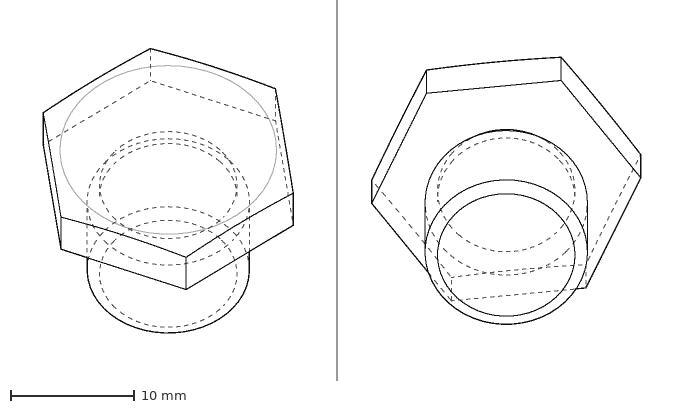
import cadquery as cq
import math

across_corners = 21.95
overall_height = 16.0
head_height = 4.55
top_face_diameter = 17.55
head_chamfer_angle = 10.0

shank_diameter = 13.16
neck_diameter = 11.15
tip_diameter = 11.15
tip_chamfer_height = 0.5
undercut_height = 2.17
shoulder_angle = 30.0
neck_fillet_radius = 0.25

head_bottom = overall_height - head_height


def make_head():
    """Hexagonal prism whose upper corners are trimmed by a shallow cone."""
    prism = (
        cq.Workplane("XY", origin=(0, 0, head_bottom))
        .polygon(6, across_corners)
        .extrude(head_height)
    )
    corner_radius = across_corners / 2
    top_radius = top_face_diameter / 2
    corner_drop = (corner_radius - top_radius) * math.tan(math.radians(head_chamfer_angle))
    cone_envelope = (
        cq.Workplane("XZ")
        .moveTo(0, head_bottom)
        .lineTo(corner_radius, head_bottom)
        .lineTo(corner_radius, overall_height - corner_drop)
        .lineTo(top_radius, overall_height)
        .lineTo(0, overall_height)
        .close()
        .revolve(360, (0, 0, 0), (0, 1, 0))
    )
    return prism.intersect(cone_envelope)


def make_shank():
    """Revolved shank with a tip chamfer, a sloping shoulder and a filleted neck."""
    shank_radius = shank_diameter / 2
    neck_radius = neck_diameter / 2
    slope = math.radians(shoulder_angle)
    shoulder_bottom = head_bottom - undercut_height
    corner_height = shoulder_bottom + (shank_radius - neck_radius) * math.tan(slope)

    half_turn = (math.pi / 2 - slope) / 2
    tangent_length = neck_fillet_radius * math.tan(half_turn)
    fillet_top = corner_height + tangent_length
    fillet_center_radius = neck_radius + neck_fillet_radius
    fillet_middle = (
        fillet_center_radius - neck_fillet_radius * math.cos(half_turn),
        fillet_top - neck_fillet_radius * math.sin(half_turn),
    )
    fillet_end = (
        neck_radius + tangent_length * math.cos(slope),
        corner_height - tangent_length * math.sin(slope),
    )
    return (
        cq.Workplane("XZ")
        .lineTo(tip_diameter / 2, 0)
        .lineTo(shank_radius, tip_chamfer_height)
        .lineTo(shank_radius, shoulder_bottom)
        .lineTo(*fillet_end)
        .threePointArc(fillet_middle, (neck_radius, fillet_top))
        .lineTo(neck_radius, head_bottom)
        .lineTo(0, head_bottom)
        .close()
        .revolve(360, (0, 0, 0), (0, 1, 0))
    )


result = make_head().union(make_shank())